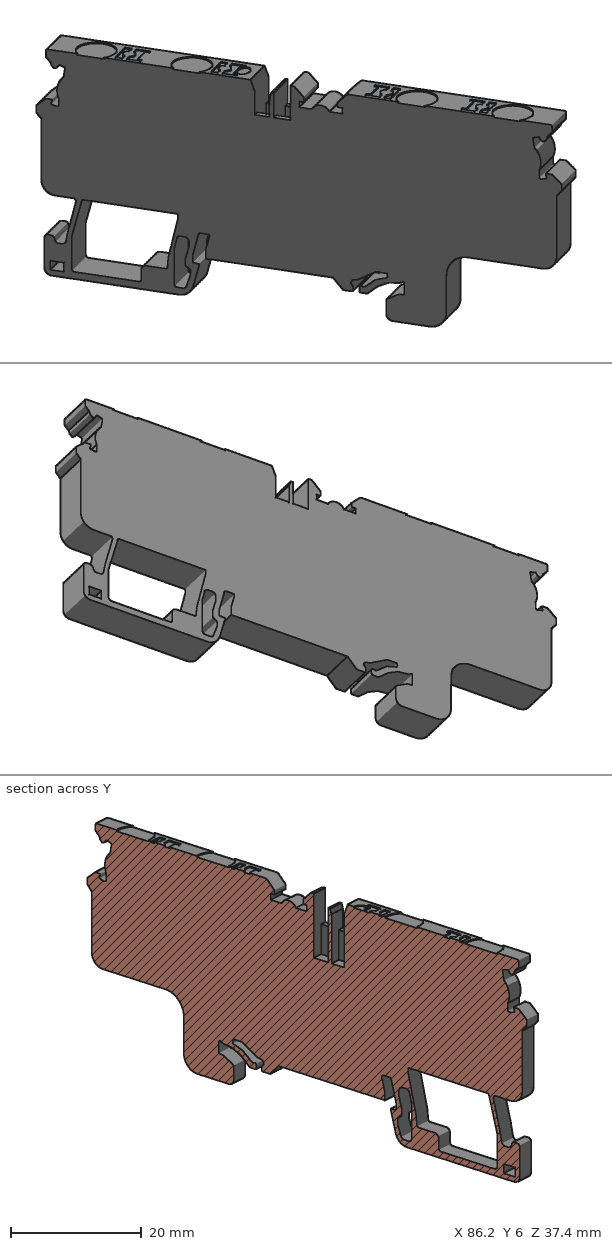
import cadquery as cq
import math


LENGTH = 86.2
WIDTH = 6.0
HEIGHT = 37.4

BODY_HALF = 42.25
BODY_BOTTOM = 13.35
RAIL_FACE = 6.65
HOOK_BOTTOM = 0.95
BODY_CORNER = 2.3
HOOK_BACK = 24.2

FOOT_END = -41.75
WINDOW_FLOOR = 1.2
RELEASE_LEFT = -40.75
RELEASE_RIGHT = -38.55
RELEASE_BOTTOM = 0.95
RELEASE_TOP = 2.45

SLOT_FLOOR = 31.7
SLOT_LEFT = -7.25
SLOT_RIGHT = -1.4
SLOT_FLARE_X = -7.95
SLOT_FLARE_Z = 35.65
BLADE_LEFT = -4.85
BLADE_RIGHT = -4.15
BLADE_TOP = 35.75
BLADE_CHAMFER_X = -4.55
BLADE_CHAMFER_Z = 34.9
SLOT_POCKET_WIDTH = 3.9
SLOT_POCKET_DEPTH = 5.0

LATCH_CENTRE = 3.58
LATCH_FLOOR = 34.05
LATCH_HALF_FLOOR = 3.52
LATCH_HALF_LIP = 2.75
LATCH_HALF_MOUTH = 4.35
LATCH_UNDERCUT = 35.0
LATCH_LIP_TOP = 35.8
LATCH_BUMP_HALF = 1.45
LATCH_BUMP_TOP = 34.9

SHORTEST_LINE = 1e-6

RECESS_DEPTH = 0.2
DISC_RADIUS = 3.15
DISC_Y = -0.65
DISC_CENTRES = (-34.15, -18.45, 18.45, 34.15)

CLAMP_CENTRES = (-28.35, -12.65, 12.65, 28.35)
CLAMP_LENGTH = 4.1
CLAMP_WIDTH = 4.2
CLAMP_Y = -0.1
CLAMP_STEP = 0.65
CLAMP_STEP_WIDTH = 3.1
CLAMP_RIB = 0.8
CLAMP_RIB_OFFSET = 0.6
CLAMP_BOSS_RADIUS = 1.0

BUTTON_X = -10.2
BUTTON_HALF_LENGTH = 1.0
BUTTON_HALF_WIDTH = 1.5

END_PROFILE = (
    (41.5, HEIGHT, 0.3),
    (41.5, 36.1, 0.2),
    (40.75, 35.35, 0.0),
    (40.6, 34.85, 0.1),
    (40.1, 34.35, 0.2),
    (39.65, 34.65, 0.1),
    (39.35, 35.1, 0.1),
    (38.35, 34.8, 0.2),
    (38.6, 33.2, 0.2),
    (39.95, 31.9, 3.2),
    (39.6, 30.15, 0.0),
    (39.4, 29.6, 0.0),
    (39.4, 28.3, 0.1),
    (39.7, 28.15, 0.1),
    (40.65, 28.4, 0.1),
    (40.4, 29.2, 0.1),
    (41.5, 29.2, 0.2),
    (LENGTH / 2, 27.8, 0.2),
    (LENGTH / 2, 26.7, 0.2),
    (BODY_HALF, 25.75, 0.0),
)


def corner_arc(before, corner, after):
    """Start, middle and end of the arc that rounds one corner."""
    x, z, radius = corner
    length_in = math.hypot(before[0] - x, before[1] - z)
    length_out = math.hypot(after[0] - x, after[1] - z)
    in_x, in_z = (before[0] - x) / length_in, (before[1] - z) / length_in
    out_x, out_z = (after[0] - x) / length_out, (after[1] - z) / length_out
    half_angle = math.acos(in_x * out_x + in_z * out_z) / 2
    setback = radius / math.tan(half_angle)
    bisector = math.hypot(in_x + out_x, in_z + out_z)
    reach = radius / math.sin(half_angle) - radius
    start = (x + in_x * setback, z + in_z * setback)
    middle = (x + (in_x + out_x) / bisector * reach, z + (in_z + out_z) / bisector * reach)
    end = (x + out_x * setback, z + out_z * setback)
    return start, middle, end


def extrude_outline(corners):
    """Full-width prism from a closed list of (x, z, corner radius)."""
    count = len(corners)
    sketch = None
    pen = None
    for index, corner in enumerate(corners):
        if corner[2] == 0:
            arc = (corner[:2],)
        else:
            arc = corner_arc(corners[index - 1], corner, corners[(index + 1) % count])
        if sketch is None:
            sketch = cq.Workplane("XZ").moveTo(*arc[0])
        elif math.dist(pen, arc[0]) > SHORTEST_LINE:
            sketch = sketch.lineTo(*arc[0])
        if len(arc) > 1:
            sketch = sketch.threePointArc(arc[1], arc[2])
        pen = arc[-1]
    return sketch.close().extrude(WIDTH / 2, both=True)


def box_between(x_min, x_max, y_centre, y_size, z_min, z_max):
    """Box from its X and Z limits and its Y centre and size."""
    box = cq.Workplane("XY").box(x_max - x_min, y_size, z_max - z_min)
    return box.translate(((x_min + x_max) / 2, y_centre, (z_min + z_max) / 2))


def left_side():
    """Left end, from the top corner down to the rail foot."""
    end = [(-x, z, radius) for x, z, radius in END_PROFILE]
    return end + [
        (-BODY_HALF, BODY_BOTTOM, BODY_CORNER),
        (-36.45, BODY_BOTTOM, 0.4),
        (-37.78, 8.1, 0.0),
        (-38.3, 5.55, 0.7),
        (-39.9, 5.55, 0.6),
        (-40.2, 6.7, 0.6),
        (FOOT_END, 6.7, 0.6),
    ]


def rail_foot():
    """Flexible foot under the left half, ending in the rail latch tooth."""
    return [
        (FOOT_END, 0.0, 1.2),
        (-17.8, 0.0, 2.4),
        (-16.3, 5.6, 0.1),
        (-17.4, 5.7, 0.1),
        (-17.4, 6.9, 0.5),
        (-16.4, 10.75, 0.4),
        (-14.6, 10.75, 0.3),
        (-15.25, 8.3, 0.5),
        (-15.25, RAIL_FACE, 0.0),
    ]


def rail_hook():
    """Rail face, spring finger and fixed hook under the right half."""
    return [
        (5.6, RAIL_FACE, 0.0),
        (7.25, 4.85, 0.2),
        (8.9, 4.85, 0.2),
        (8.9, 5.7, 0.2),
        (8.5, 6.2, 0.2),
        (8.8, 6.8, 0.2),
        (9.6, 6.9, 0.2),
        (12.7, 8.7, 0.3),
        (14.5, 8.7, 0.2),
        (14.5, 8.0, 0.2),
        (12.6, 7.4, 0.4),
        (10.75, 5.9, 0.1),
        (9.9, 6.05, 0.3),
        (9.9, 4.85, 0.3),
        (11.2, 4.85, 0.3),
        (12.9, 6.3, 2.0),
        (14.7, 7.2, 2.0),
        (16.5, 7.4, 0.2),
        (17.25, 7.8, 0.2),
        (17.25, 5.6, 0.2),
        (16.4, 5.55, 0.5),
        (14.3, 4.4, 0.3),
        (14.3, HOOK_BOTTOM, 1.1),
        (HOOK_BACK, HOOK_BOTTOM, 2.8),
        (HOOK_BACK, BODY_BOTTOM, 3.5),
        (BODY_HALF, BODY_BOTTOM, BODY_CORNER),
    ]


def right_side():
    """Right end, from the side face up to the top corner."""
    return list(reversed(END_PROFILE))


def latch_recess():
    """Undercut recess in the top that takes a snap-in marker."""
    right_half = [
        (LATCH_BUMP_HALF, LATCH_FLOOR, 0.0),
        (LATCH_HALF_FLOOR, LATCH_FLOOR, 0.0),
        (LATCH_HALF_FLOOR, LATCH_UNDERCUT, 0.0),
        (LATCH_HALF_LIP, LATCH_UNDERCUT, 0.2),
        (LATCH_HALF_LIP, LATCH_LIP_TOP, 0.2),
        (LATCH_HALF_MOUTH, HEIGHT, 0.7),
    ]
    bump_height = LATCH_BUMP_TOP - LATCH_FLOOR
    bump_radius = (LATCH_BUMP_HALF**2 + bump_height**2) / (2 * bump_height)
    apex_rise = LATCH_BUMP_HALF**2 / (bump_radius - bump_height)
    bump = [(0.0, LATCH_FLOOR + apex_rise, bump_radius)]
    left_half = [(-x, z, radius) for x, z, radius in right_half]
    outline = list(reversed(right_half)) + bump + left_half
    return [(LATCH_CENTRE + x, z, radius) for x, z, radius in outline]


def bridge_slots():
    """Two bridge slots with the blade between them, from right to left."""
    return [
        (SLOT_RIGHT, HEIGHT, 0.0),
        (SLOT_RIGHT, SLOT_FLOOR, 0.0),
        (BLADE_RIGHT, SLOT_FLOOR, 0.0),
        (BLADE_RIGHT, BLADE_TOP, 0.0),
        (BLADE_CHAMFER_X, BLADE_TOP, 0.0),
        (BLADE_LEFT, BLADE_CHAMFER_Z, 0.0),
        (BLADE_LEFT, SLOT_FLOOR, 0.0),
        (SLOT_LEFT, SLOT_FLOOR, 0.0),
        (SLOT_LEFT, SLOT_FLARE_Z, 0.6),
        (SLOT_FLARE_X, HEIGHT, 0.0),
    ]


def make_body():
    outline = left_side() + rail_foot() + rail_hook() + right_side()
    outline += latch_recess() + bridge_slots()
    return extrude_outline(outline)


def foot_window():
    """Large opening between the housing and the foot."""
    return extrude_outline([
        (-35.55, BODY_BOTTOM, 0.2),
        (-37.25, 7.0, 1.0),
        (-37.25, WINDOW_FLOOR, 0.5),
        (-25.85, WINDOW_FLOOR, 0.4),
        (-25.85, 4.0, 0.8),
        (-21.6, 4.0, 0.3),
        (-21.4, 6.0, 1.0),
        (-19.85, 12.6, 0.5),
        (-19.85, BODY_BOTTOM, 0.1),
    ])


def spring_window():
    """Narrow opening that lets the latch tooth flex."""
    return extrude_outline([
        (-20.45, WINDOW_FLOOR, 0.5),
        (-20.45, 7.5, 1.0),
        (-19.9, 9.75, 0.6),
        (-18.05, 9.75, 0.7),
        (-18.05, 8.2, 1.0),
        (-18.6, 6.2, 0.5),
        (-18.6, 5.0, 0.3),
        (-17.8, 4.4, 0.4),
        (-17.8, 3.5, 1.0),
        (-18.6, WINDOW_FLOOR, 0.6),
    ])


def release_window():
    """Small rectangular opening at the outer end of the foot."""
    return box_between(RELEASE_LEFT, RELEASE_RIGHT, 0, WIDTH, RELEASE_BOTTOM, RELEASE_TOP)


def slot_pockets():
    """Pockets that continue the bridge slots below their floor."""
    bottom = SLOT_FLOOR - SLOT_POCKET_DEPTH
    left = box_between(SLOT_LEFT, BLADE_LEFT, 0, SLOT_POCKET_WIDTH, bottom, SLOT_FLOOR)
    right = box_between(BLADE_RIGHT, SLOT_RIGHT, 0, SLOT_POCKET_WIDTH, bottom, SLOT_FLOOR)
    return left.union(right)


def top_disc(x, y, radius):
    """Disc just below the top face."""
    plane = cq.Workplane("XY", origin=(x, y, HEIGHT - RECESS_DEPTH))
    return plane.circle(radius).extrude(RECESS_DEPTH)


def button_recess():
    """Shallow oval recess next to the inner left clamp recess."""
    plane = cq.Workplane("XY", origin=(BUTTON_X, 0, HEIGHT - RECESS_DEPTH))
    return plane.ellipse(BUTTON_HALF_LENGTH, BUTTON_HALF_WIDTH).extrude(RECESS_DEPTH)


def clamp_recess(x_centre):
    """Shallow recess with a stepped inner end, split by a rib with a round boss."""
    outward = math.copysign(1, x_centre)
    floor = HEIGHT - RECESS_DEPTH
    half = CLAMP_LENGTH / 2
    recess = box_between(x_centre - half, x_centre + half, CLAMP_Y, CLAMP_WIDTH, floor, HEIGHT)
    step_x = x_centre - outward * (half - CLAMP_STEP / 2)
    step = box_between(
        step_x - CLAMP_STEP / 2, step_x + CLAMP_STEP / 2, CLAMP_Y, CLAMP_STEP_WIDTH, floor, HEIGHT
    )
    rib_x = x_centre + outward * CLAMP_RIB_OFFSET
    rib = box_between(
        rib_x - CLAMP_RIB / 2, rib_x + CLAMP_RIB / 2, CLAMP_Y, CLAMP_WIDTH, floor, HEIGHT
    )
    boss = top_disc(rib_x, CLAMP_Y, CLAMP_BOSS_RADIUS)
    return recess.cut(step).cut(rib).cut(boss)


result = make_body()
for opening in (foot_window(), spring_window(), release_window(), slot_pockets()):
    result = result.cut(opening)
for disc_x in DISC_CENTRES:
    result = result.cut(top_disc(disc_x, DISC_Y, DISC_RADIUS))
for clamp_x in CLAMP_CENTRES:
    result = result.cut(clamp_recess(clamp_x))
result = result.cut(button_recess())